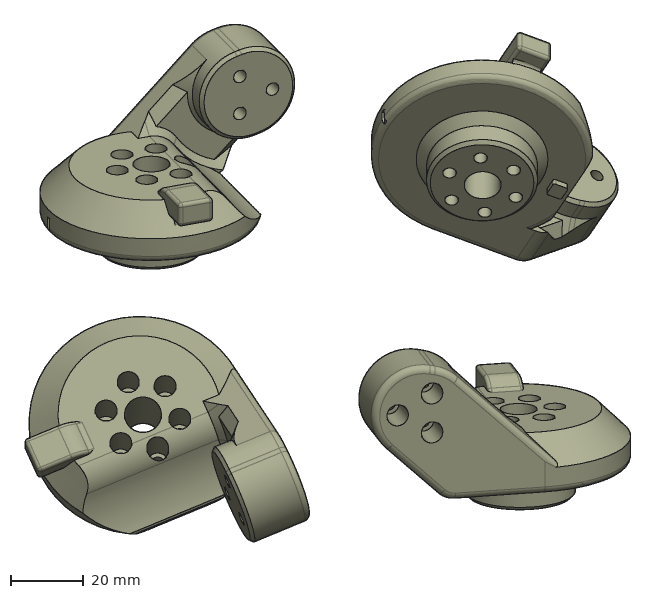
import cadquery as cq
import math


disc_radius = 30.4
rim_height = 7.35
disc_height = 15.3
top_radius = disc_radius - (disc_height - rim_height)
outer_fillet = 2.0
disc_back_y = 27.2
back_chamfer = 0.5

hub_radius = 15.25
hub_drop = 9.5
hub_cone_drop = 2.85
hub_chamfer = 1.0

overall_length = 79.0
arm_outer_x = -disc_radius
arm_inner_x = -19.35
arm_slope = math.radians(43.4)
arm_bend_radius = 6.3
gusset_start_x = -23.7
arm_edge_chamfer = 3.15
head_radius = 13.5
disc_to_tip = overall_length - disc_radius
head_y = disc_to_tip - head_radius
head_z = 25.5
head_shift_y = -1.4
head_shift_z = -0.3

boss_inner_x = -12.4
boss_start_x = -18.3
boss_chamfer = 1.0

scoop_radius = 25.1
scoop_lip_radius = 8.8
scoop_side_x = -17.4

lug_top = 18.4
lug_bottom = 11.45
lug_end_x = 32.5
lug_toe_x = 15.5
lug_root_x = 23.7
lug_hump_radius = 7.1
lug_toe_radius = 2.4
lug_width = 10.2
lug_fillet = 1.0
neck_radius = 0.9

screw_diameter = 3.7
screw_head_diameter = 6.0
disc_pattern_x = -0.7
disc_pattern_y = 0.55
disc_pattern_radius = 10.2
disc_screw_count = 6
disc_bore_diameter = 10.1
disc_head_floor_z = 0.0
arm_pattern_radius = 6.5
arm_screw_count = 3
arm_head_floor_x = arm_inner_x

notch_width = 1.2
notch_height = 4.9
notch_depth = 0.8
pin_width = 4.5
pin_drop = 1.8
pin_y = 23.15
pin_corner = 0.6

cone_angle = 45

far = 79.0

slope_y = math.cos(arm_slope)
slope_z = math.sin(arm_slope)

near_head_y = head_y + head_shift_y
near_head_z = head_z + head_shift_z
lower_touch_y = head_y + head_radius * slope_z
lower_touch_z = head_z - head_radius * slope_y
upper_touch_y = near_head_y - head_radius * slope_z
upper_touch_z = near_head_z + head_radius * slope_y
lower_foot_y = lower_touch_y - lower_touch_z * slope_y / slope_z
upper_foot_y = upper_touch_y - upper_touch_z * slope_y / slope_z


def box_between(x_range, y_range, z_range):
    size = [high - low for low, high in (x_range, y_range, z_range)]
    corner = (x_range[0], y_range[0], z_range[0])
    return cq.Workplane("XY").box(*size, centered=False).translate(corner)


def head_outline(x):
    """Oblong outline of the arm head in the YZ plane at the given X."""
    length = 2 * head_radius + math.hypot(head_shift_y, head_shift_z)
    tilt = math.degrees(math.atan2(head_shift_z, head_shift_y))
    return (
        cq.Workplane("YZ", origin=(x, 0, 0))
        .center((head_y + near_head_y) / 2, (head_z + near_head_z) / 2)
        .slot2D(length, 2 * head_radius, tilt)
    )


def arm_blank(x_start, x_end):
    """Full side outline of the arm, extruded between two X planes."""
    thickness = x_end - x_start
    shank = (
        cq.Workplane("YZ", origin=(x_start, 0, 0))
        .moveTo(upper_foot_y, 0)
        .lineTo(lower_foot_y, 0)
        .lineTo(lower_touch_y, lower_touch_z)
        .lineTo(upper_touch_y, upper_touch_z)
        .close()
        .extrude(thickness)
    )
    shank = shank.faces("<Z").edges(">Y").fillet(arm_bend_radius)
    return shank.union(head_outline(x_start).extrude(thickness))


def rounded_cylinder(height):
    """Cylinder of the disc radius with a rounded bottom edge."""
    cylinder = cq.Workplane("XY").circle(disc_radius).extrude(height)
    return cylinder.faces("<Z").edges().fillet(outer_fillet)


def make_disc():
    cone = cq.Workplane("XY").circle(disc_radius).extrude(disc_height)
    cone = cone.faces(">Z").edges().chamfer(disc_height - rim_height)
    disc = cone.intersect(rounded_cylinder(disc_height))
    return disc.intersect(box_between((-far, far), (-far, disc_back_y), (-far, far)))


def make_hub():
    hub = cq.Workplane("XY").circle(hub_radius).extrude(-hub_drop)
    hub = hub.faces("<Z").edges().chamfer(hub_chamfer)
    cone = cq.Workplane("XY").circle(hub_radius + hub_cone_drop)
    return hub.union(cone.extrude(-hub_cone_drop, taper=cone_angle))


def make_scoop(length, taper=0):
    """Room above the disc floor, extruded along X from scoop_side_x.

    The floor runs flat, then over a round lip into an arc about the arm head.
    """
    lip_z = disc_height - scoop_lip_radius
    lip_y = head_y - math.sqrt((scoop_radius + scoop_lip_radius) ** 2 - (head_z - lip_z) ** 2)
    lip_share = scoop_lip_radius / (scoop_radius + scoop_lip_radius)
    lip_end_y = lip_y + lip_share * (head_y - lip_y)
    lip_end_z = lip_z + lip_share * (head_z - lip_z)
    outline = (
        cq.Workplane("YZ", origin=(scoop_side_x, 0, 0))
        .moveTo(-far, disc_height)
        .lineTo(lip_y, disc_height)
        .tangentArcPoint((lip_end_y, lip_end_z), relative=False)
        .tangentArcPoint((head_y, head_z - scoop_radius), relative=False)
        .lineTo(far, head_z - scoop_radius)
        .lineTo(far, far)
        .lineTo(-far, far)
        .close()
    )
    return outline.extrude(length, taper=taper)


def make_base():
    """Disc with the scoop cut into it, and the gusset that joins the scooped floor to the arm."""
    base = make_disc().cut(make_scoop(far))
    base = base.edges("|X").edges(">Y").edges(">Z").chamfer(back_chamfer)
    gusset = arm_blank(gusset_start_x, scoop_side_x)
    return base.union(gusset).cut(make_scoop(gusset_start_x - scoop_side_x, taper=cone_angle))


def make_arm():
    """Arm plate, trimmed to the disc radius where it runs alongside the front of the disc."""
    arm = arm_blank(arm_outer_x, arm_inner_x)
    arm = arm.faces("<X").edges().fillet(outer_fillet)
    upper_middle = ((upper_touch_y + upper_foot_y) / 2, upper_touch_z / 2)
    upper_inner_edge = cq.NearestToPointSelector((arm_inner_x, *upper_middle))
    arm = arm.edges(upper_inner_edge).chamfer(arm_edge_chamfer)
    room = rounded_cylinder(far).union(box_between((-far, far), (0, far), (0, far)))
    return arm.intersect(room)


def make_boss():
    """Boss on the arm head, with a conical skirt that spreads into the arm plate."""
    boss = head_outline(arm_inner_x).extrude(boss_inner_x - arm_inner_x)
    boss = boss.faces(">X").edges().chamfer(boss_chamfer)
    skirt = head_outline(boss_start_x).extrude(gusset_start_x - boss_start_x, taper=-cone_angle)
    return boss.union(skirt.intersect(arm_blank(gusset_start_x, boss_start_x)))


def make_lug():
    """Lug whose top rises from the disc through a hollow toe and a round hump."""
    drop = lug_top - disc_height
    radii = lug_hump_radius + lug_toe_radius
    run = math.sqrt(radii**2 - (radii - drop) ** 2)
    hump_share = lug_hump_radius / radii
    hump_x = lug_toe_x + run
    swap_x = hump_x - hump_share * run
    swap_z = lug_top - hump_share * drop
    lug = (
        cq.Workplane("XZ", origin=(0, lug_width / 2, 0))
        .moveTo(lug_end_x, lug_bottom)
        .lineTo(lug_end_x, lug_top)
        .lineTo(hump_x, lug_top)
        .tangentArcPoint((swap_x, swap_z), relative=False)
        .tangentArcPoint((lug_toe_x, disc_height), relative=False)
        .lineTo(lug_toe_x, lug_bottom)
        .close()
        .extrude(lug_width)
    )
    past_toe = cq.selectors.BoxSelector((lug_toe_x + lug_fillet / 2, -far, -far), (far, far, far))
    return lug.edges(past_toe).fillet(lug_fillet).union(make_neck())


def make_neck():
    """Round fillet between the underside of the lug and the cone of the disc."""
    cone_x = top_radius + disc_height - lug_bottom
    reach = neck_radius / math.tan(math.radians(cone_angle / 2))
    drop = reach * math.sin(math.radians(cone_angle))
    arc_x = cone_x + reach
    arc_z = lug_bottom - neck_radius
    middle_angle = math.radians(180 - cone_angle / 2)
    middle_x = arc_x + neck_radius * math.cos(middle_angle)
    middle_z = arc_z + neck_radius * math.sin(middle_angle)
    half_turn = math.degrees(math.asin((lug_width / 2 - lug_fillet) / cone_x))
    neck = (
        cq.Workplane("XZ")
        .moveTo(lug_root_x, lug_bottom + lug_fillet)
        .lineTo(arc_x, lug_bottom + lug_fillet)
        .lineTo(arc_x, lug_bottom)
        .threePointArc((middle_x, middle_z), (cone_x + drop, lug_bottom - drop))
        .lineTo(lug_root_x, lug_bottom - drop)
        .close()
        .revolve(2 * half_turn, (0, 0, 0), (0, 1, 0))
    )
    return neck.rotate((0, 0, 0), (0, 0, 1), -half_turn)


def counterbored_hole(depth, head_depth):
    """Cutter for a screw hole along -Z from the origin, widened for the screw head at its start."""
    shank = cq.Workplane("XY").circle(screw_diameter / 2).extrude(-depth)
    return shank.union(cq.Workplane("XY").circle(screw_head_diameter / 2).extrude(-head_depth))


def make_disc_holes():
    holes = cq.Workplane("XY", origin=(0, 0, -hub_drop)).circle(disc_bore_diameter / 2).extrude(far)
    screw = counterbored_hole(far, disc_height - disc_head_floor_z)
    screw = screw.translate((0, disc_pattern_radius, disc_height))
    for index in range(disc_screw_count):
        holes = holes.union(screw.rotate((0, 0, 0), (0, 0, 1), index * 360 / disc_screw_count))
    return holes.translate((disc_pattern_x, disc_pattern_y, 0))


def make_arm_holes():
    screw = counterbored_hole(far, arm_head_floor_x - arm_outer_x).rotate((0, 0, 0), (0, 1, 0), -90)
    screw = screw.translate((arm_outer_x, head_y + arm_pattern_radius, head_z))
    axis_start = (arm_outer_x, head_y, head_z)
    axis_end = (boss_inner_x, head_y, head_z)
    holes = screw
    for index in range(1, arm_screw_count):
        holes = holes.union(screw.rotate(axis_start, axis_end, index * 360 / arm_screw_count))
    return holes


def make_notch():
    half = notch_width / 2
    return box_between((-half, half), (-far, notch_depth - disc_radius), (0, notch_height))


def make_pin():
    pin = cq.Workplane("XY", origin=(0, pin_y, 0)).rect(pin_width, pin_width).extrude(-pin_drop)
    return pin.edges("|Z").fillet(pin_corner)


result = make_base().union(make_arm()).union(make_boss()).union(make_hub())
result = result.union(make_lug()).union(make_pin())
result = result.cut(make_disc_holes()).cut(make_arm_holes()).cut(make_notch())